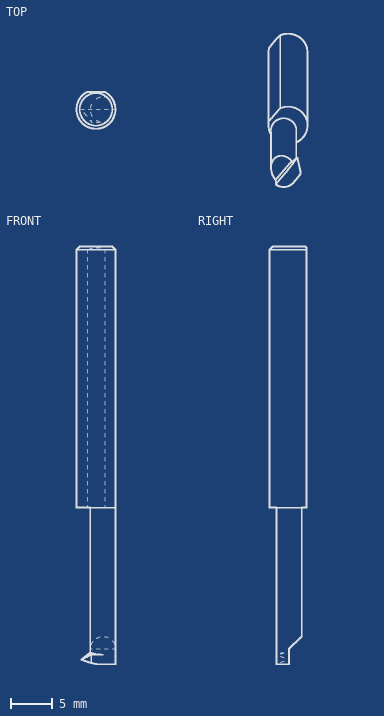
import cadquery as cq

total_length = 50.8
shank_diameter = 4.76
shank_radius = shank_diameter / 2
shank_depth = 4.51
top_chamfer = 0.4

neck_length = 19.05
neck_diameter = 3.1
neck_radius = neck_diameter / 2
neck_x = shank_radius - neck_radius

face_height = 1.9
runout_height = 3.4

tip_x = -1.8
tip_z = 0.58
tooth_root_x = -0.55
tooth_top_z = 1.57
top_relief_drop = 0.37

slope_change_x = -0.75
slope_change_z = 0.2
slope_end_x = 0.15


def make_shank():
    """Chamfered round bar, trimmed on +Y by a full-length flat."""
    shank_length = total_length - neck_length
    bar = (
        cq.Workplane("XY", origin=(0, 0, neck_length))
        .circle(shank_radius)
        .extrude(shank_length)
        .faces(">Z")
        .chamfer(top_chamfer)
    )
    envelope = cq.Workplane("XY", origin=(0, -shank_radius, 0)).box(
        shank_diameter, shank_depth, total_length, centered=(True, False, False)
    )
    return bar.intersect(envelope)


def make_neck():
    """Off-centre round bar from the tool end up to the shank."""
    return cq.Workplane("XY").center(neck_x, 0).circle(neck_radius).extrude(neck_length)


def make_face_cut():
    """Removes the +Y half of the neck end, running out on a slope."""
    return (
        cq.Workplane("YZ", origin=(neck_x, 0, 0))
        .moveTo(0, 0)
        .lineTo(0, face_height)
        .lineTo(neck_radius, runout_height)
        .lineTo(neck_radius, 0)
        .close()
        .extrude(neck_radius, both=True)
    )


def tooth_profile(y, drop):
    """Wire of the tooth's upper outline at a given Y, lowered by drop."""
    return (
        cq.Workplane("XY")
        .polyline(
            [
                (tip_x, y, -drop),
                (tip_x, y, tip_z - drop),
                (tooth_root_x, y, tooth_top_z - drop),
                (neck_x, y, tooth_top_z - drop),
                (neck_x, y, -drop),
            ]
        )
        .close()
        .val()
    )


def make_tooth():
    """Pointed tooth whose top falls and whose flank recedes towards -Y."""
    front_wire = tooth_profile(0, 0)
    rear_wire = tooth_profile(-neck_radius, top_relief_drop)
    sloping_body = cq.Workplane(cq.Solid.makeLoft([front_wire, rear_wire], True))
    relieved_plan = (
        cq.Workplane("XY")
        .moveTo(tip_x, 0)
        .lineTo(neck_x, 0)
        .lineTo(neck_x, -neck_radius)
        .lineTo(tooth_root_x, -neck_radius)
        .close()
        .extrude(tooth_top_z)
    )
    return sloping_body.intersect(relieved_plan)


def make_end_relief():
    """Wedge removed from under the tooth and the adjoining corner of the neck."""
    return (
        cq.Workplane("XZ")
        .moveTo(tip_x, 0)
        .lineTo(tip_x, tip_z)
        .lineTo(slope_change_x, slope_change_z)
        .lineTo(slope_end_x, 0)
        .close()
        .extrude(neck_radius)
    )


tool = make_shank().union(make_neck()).cut(make_face_cut())
result = tool.union(make_tooth()).cut(make_end_relief())